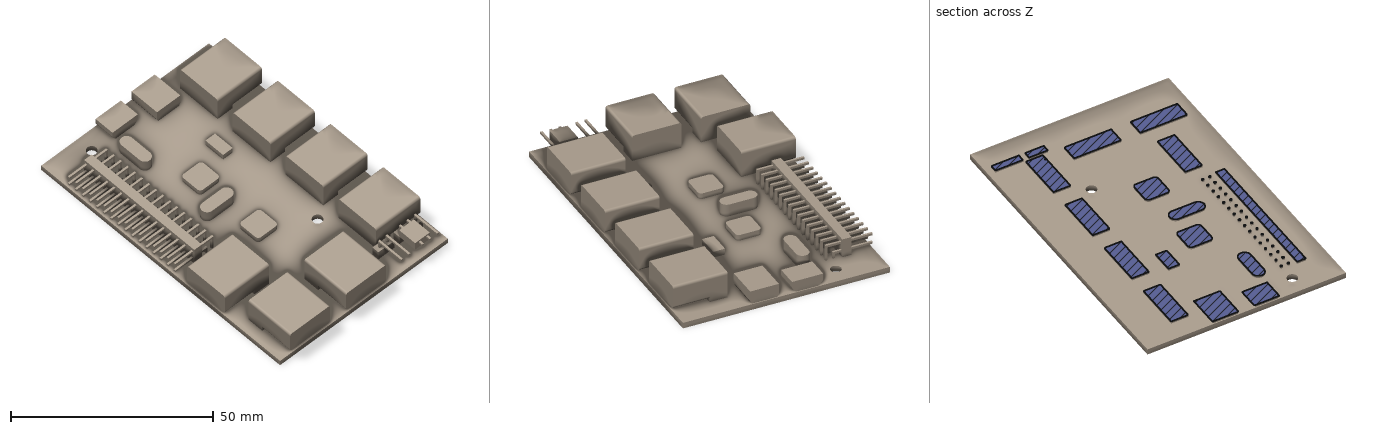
import cadquery as cq

board_length = 86.0
board_width = 57.0
board_thickness = 1.6
total_height = 9.0
mounting_hole_diameter = 2.9
mounting_holes = [(5.1, 12.4), (59.3, 37.9)]

jack_width = 13.6
jack_depth = 15.05
jack_overhang = 10.1
jack_overhang_bottom = 2.6
jack_corner_radius = 0.7
jack_pitch = 19.0
north_jack_first_centre = 12.3
north_jack_count = 4
east_jack_first_centre = 10.2
east_jack_count = 2
south_jack_centre = 59.3

pin_size = 0.6

long_header_pins = 16
long_header_pin_span = 38.1
long_header_first_pin = 9.9
long_header_end_margin = 0.8
long_header_back = 6.0
long_header_front = 8.6
long_header_top = 6.9
long_header_rows = [(5.7, 12.7), (3.2, 10.7)]
pin_pitch = long_header_pin_span / (long_header_pins - 1)

short_header_block_start = 76.9
short_header_block_width = 2.15
short_header_centre_x = short_header_block_start + short_header_block_width / 2
short_header_block_top = 4.4
short_header_pin_top = 6.6
short_header_end_margin = 1.5
short_headers = [(41.45, 2), (48.6, 3)]

jumper_start = (79.0, 47.0, 4.65)
jumper_length = 5.8
jumper_width = 5.0
jumper_height = 2.5

connector_inset = 0.3
power_socket_length = 9.2
power_socket_centre = 34.4
power_socket_profile = [(3.5, board_thickness), (3.95, 2.5), (3.95, 5.3)]
display_socket_length = 6.1
display_socket_centre = 22.5
display_socket_profile = [(3.2, board_thickness), (4.2, 2.8), (4.3, 3.3), (4.3, 4.8)]

chip_size = 7.0
chip_top = 3.3
chip_corner_radius = 1.0
chip_centres = [(30.5, 25.4), (51.4, 25.4)]
small_chip_start = (23.05, 34.05)
small_chip_length = 6.4
small_chip_width = 3.3
small_chip_top = 3.35
crystal_length = 10.1
crystal_width = 3.5
crystal_top = 5.1
crystals = [((14.2, 18.75), 0), ((39.8, 22.1), 90)]


def block(x, y, z):
    """Box spanning three (low, high) ranges."""
    size = (x[1] - x[0], y[1] - y[0], z[1] - z[0])
    return cq.Workplane("XY").box(*size, centered=False).translate((x[0], y[0], z[0]))


def around(centre, width):
    """(low, high) range of a width about a centre."""
    return (centre - width / 2, centre + width / 2)


def make_board():
    board = block((0, board_length), (0, board_width), (0, board_thickness))
    holes = (
        cq.Workplane("XY")
        .pushPoints(mounting_holes)
        .circle(mounting_hole_diameter / 2)
        .extrude(board_thickness)
    )
    return board.cut(holes)


def make_jack():
    """Jack whose opening lies on Y = 0 and whose body runs toward +Y."""
    width_range = around(0, jack_width)
    shell = block(width_range, (0, jack_depth), (jack_overhang_bottom, total_height))
    shell = shell.edges("|Y").fillet(jack_corner_radius)
    foot_top = jack_overhang_bottom + 2 * jack_corner_radius
    foot = block(width_range, (jack_overhang, jack_depth), (board_thickness, foot_top))
    return shell.union(foot)


def make_jacks():
    south_facing = make_jack()
    north_facing = south_facing.rotate((0, 0, 0), (0, 0, 1), 180)
    east_facing = south_facing.rotate((0, 0, 0), (0, 0, 1), 90)
    jacks = [south_facing.translate((south_jack_centre, 0, 0))]
    for i in range(north_jack_count):
        x = north_jack_first_centre + i * jack_pitch
        jacks.append(north_facing.translate((x, board_width, 0)))
    for i in range(east_jack_count):
        y = east_jack_first_centre + i * jack_pitch
        jacks.append(east_facing.translate((board_length, y, 0)))
    return jacks


def make_long_header():
    block_ends = (
        long_header_first_pin - long_header_end_margin,
        long_header_first_pin + long_header_pin_span + long_header_end_margin,
    )
    block_sides = (long_header_back, long_header_front)
    parts = [block(block_ends, block_sides, (board_thickness, long_header_top))]
    for i in range(long_header_pins):
        x_range = around(long_header_first_pin + i * pin_pitch, pin_size)
        for height, leg_y in long_header_rows:
            z_range = around(height, pin_size)
            leg_range = around(leg_y, pin_size)
            parts.append(block(x_range, (0, leg_range[1]), z_range))
            parts.append(block(x_range, leg_range, (board_thickness, z_range[1])))
    return parts


def make_short_header(first_pin, pin_count):
    last_pin = first_pin + (pin_count - 1) * pin_pitch
    block_ends = (first_pin - short_header_end_margin, last_pin + short_header_end_margin)
    block_sides = around(short_header_centre_x, short_header_block_width)
    parts = [block(block_sides, block_ends, (board_thickness, short_header_block_top))]
    leg_range = around(short_header_centre_x, pin_size)
    z_range = (short_header_pin_top - pin_size, short_header_pin_top)
    for i in range(pin_count):
        y_range = around(first_pin + i * pin_pitch, pin_size)
        parts.append(block(leg_range, y_range, (board_thickness, z_range[1])))
        parts.append(block((leg_range[0], board_length), y_range, z_range))
    return parts


def make_jumper():
    x, y, z = jumper_start
    return block((x, x + jumper_length), (y, y + jumper_width), (z, z + jumper_height))


def make_edge_connector(profile, length, centre_y):
    """Connector with a mirrored (half width, Z) profile, extruded toward +X."""
    right_side = [(centre_y + half_width, z) for half_width, z in profile]
    left_side = [(centre_y - half_width, z) for half_width, z in reversed(profile)]
    body = cq.Workplane("YZ").polyline(right_side + left_side).close().extrude(length)
    return body.translate((connector_inset, 0, 0))


def make_small_chip():
    x, y = small_chip_start
    x_range = (x, x + small_chip_length)
    return block(x_range, (y, y + small_chip_width), (board_thickness, small_chip_top))


def make_chips():
    chips = (
        cq.Workplane("XY", origin=(0, 0, board_thickness))
        .pushPoints(chip_centres)
        .rect(chip_size, chip_size)
        .extrude(chip_top - board_thickness)
    )
    return chips.edges("|Z").fillet(chip_corner_radius)


def make_crystal(centre, turn):
    return (
        cq.Workplane("XY", origin=(*centre, board_thickness))
        .slot2D(crystal_length, crystal_width, turn)
        .extrude(crystal_top - board_thickness)
    )


components = make_jacks() + make_long_header()
for first_pin, pin_count in short_headers:
    components += make_short_header(first_pin, pin_count)
components += [
    make_jumper(),
    make_edge_connector(power_socket_profile, power_socket_length, power_socket_centre),
    make_edge_connector(display_socket_profile, display_socket_length, display_socket_centre),
    make_chips(),
    make_small_chip(),
]
components += [make_crystal(centre, turn) for centre, turn in crystals]

solids = [component.val() for component in components]
result = cq.Workplane(make_board().val().fuse(*solids))